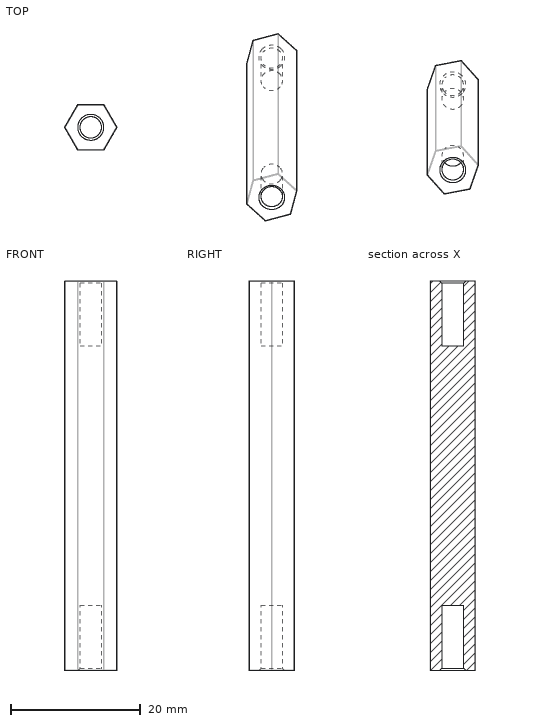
import cadquery as cq
import math

side_count = 6
across_flats = 7.0
length = 60.0
edge_radius = 0.1

hole_diameter = 3.3
hole_depth = 10.0
countersink_diameter = 4.0
countersink_depth = (countersink_diameter - hole_diameter) / 2


def hex_body():
    """Hexagonal bar centred on the origin, corners on X, all edges lightly rounded."""
    across_corners = across_flats / math.cos(math.pi / side_count)
    bar = cq.Workplane("XY").polygon(side_count, across_corners).extrude(length / 2, both=True)
    return bar.edges().fillet(edge_radius)


def end_hole():
    """Flat-bottomed hole with a countersunk mouth, sunk from the upper end."""
    profile = (
        cq.Workplane("XZ")
        .moveTo(0, length / 2)
        .lineTo(countersink_diameter / 2, length / 2)
        .lineTo(hole_diameter / 2, length / 2 - countersink_depth)
        .lineTo(hole_diameter / 2, length / 2 - hole_depth)
        .lineTo(0, length / 2 - hole_depth)
        .close()
    )
    return profile.revolve(360, (0, 0, 0), (0, 1, 0))


upper_hole = end_hole()
lower_hole = upper_hole.mirror("XY")

result = hex_body().cut(upper_hole).cut(lower_hole)